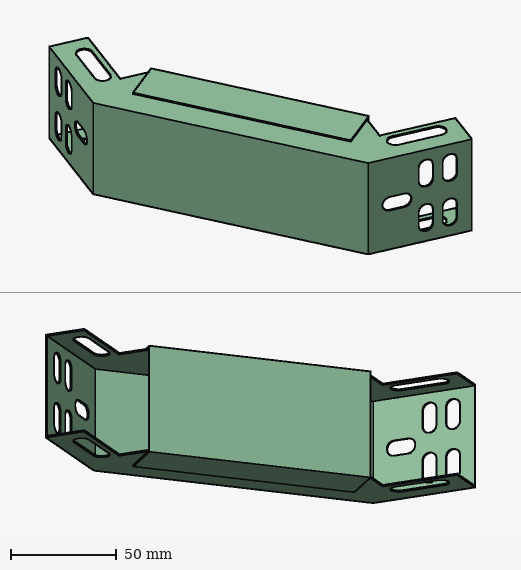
import cadquery as cq
import math

length = 216.0
sheet = 0.8
cover_height = 53.2
bracket_height = cover_height - 2 * sheet

front_half = 70.2
wing_angle = 45.0
flange_width = 20.0
notch_along = 14.5
wing_length = (length / 2 - front_half) / math.cos(math.radians(wing_angle))

flange_slot_along = 30.7
flange_slot_offset = 13.2
flange_slot_length = 30.0
flange_slot_width = 8.0
upright_slot_alongs = (29.8, 42.1)
upright_slot_height = 12.5
upright_slot_length = 15.1
upright_slot_width = 7.3
bolt_slot_along = 15.0
bolt_slot_length = 15.0
bolt_slot_width = 7.5

cover_length = 111.3
cover_back = 37.2
cover_lip = 23.0
flange_back = 35.0


def wing_point(along, offset):
    """Plan position on the +X wing, from distance along it and inward offset."""
    angle = math.radians(wing_angle)
    x = front_half + along * math.cos(angle) - offset * math.sin(angle)
    y = along * math.sin(angle) + offset * math.cos(angle)
    return x, y


def symmetric_prism(right_points, height):
    """Prism mirrored about X = 0 and centred on Z = 0."""
    left_points = [(-x, y) for x, y in reversed(right_points)]
    prism = cq.Workplane("XY").polyline(right_points + left_points).close()
    return prism.extrude(height / 2, both=True)


def make_folded_sheet():
    """Front wall, wing walls and the two flanges, without slots."""
    notch = wing_point(notch_along, flange_width)
    shoulder = (notch[0] - (flange_back - notch[1]) * math.tan(math.radians(wing_angle)), flange_back)
    outline = [
        (front_half, 0),
        wing_point(wing_length, 0),
        wing_point(wing_length, flange_width),
        notch,
        shoulder,
    ]
    overrun = length
    inner_bend = front_half - sheet * math.tan(math.radians(wing_angle / 2))
    hollow_end = wing_point(wing_length + overrun, sheet)
    hollow = [(inner_bend, sheet), hollow_end]
    inside_height = bracket_height - 2 * sheet
    return symmetric_prism(outline, bracket_height).cut(symmetric_prism(hollow, inside_height))


def make_flange_slots():
    """Cutter through both flanges of the +X wing."""
    center = wing_point(flange_slot_along, flange_slot_offset)
    slot = cq.Workplane("XY").center(*center).slot2D(flange_slot_length, flange_slot_width, wing_angle)
    return slot.extrude(bracket_height, both=True)


def make_wall_slots():
    """Cutter through the +X wing wall: four upright slots and one bolt slot."""
    angle = math.radians(wing_angle)
    plane = cq.Plane(
        origin=(front_half, 0, 0),
        xDir=(math.cos(angle), math.sin(angle), 0),
        normal=(math.sin(angle), -math.cos(angle), 0),
    )
    centers = [
        (along, side * upright_slot_height)
        for along in upright_slot_alongs
        for side in (-1, 1)
    ]
    upright = cq.Workplane(plane).pushPoints(centers)
    upright = upright.slot2D(upright_slot_length, upright_slot_width, 90).extrude(2 * sheet, both=True)
    bolt = cq.Workplane(plane).center(bolt_slot_along, 0)
    bolt = bolt.slot2D(bolt_slot_length, bolt_slot_width).extrude(2 * sheet, both=True)
    return upright.union(bolt)


def make_bracket():
    bracket = make_folded_sheet()
    for cutter in (make_flange_slots(), make_wall_slots()):
        bracket = bracket.cut(cutter).cut(cutter.mirror("YZ"))
    return bracket


def make_cover():
    """Channel open to the front, its lips lying on the bracket flanges."""
    lip_center = cover_back - cover_lip / 2
    block = cq.Workplane("XY").box(cover_length, cover_lip, cover_height)
    opening = cq.Workplane("XY").box(cover_length, cover_lip, bracket_height)
    return block.cut(opening.translate((0, -sheet, 0))).translate((0, lip_center, 0))


bracket = make_bracket()
cover = make_cover()
result = cq.Compound.makeCompound([bracket.val(), cover.val()])